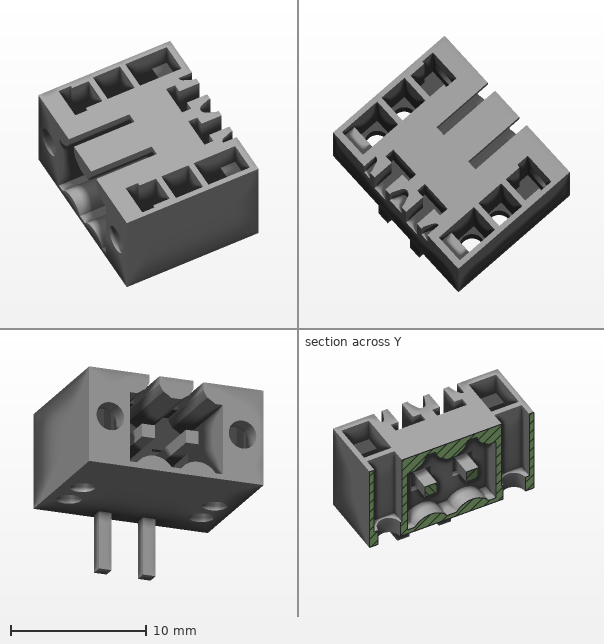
import cadquery as cq
import math


width = 13.9
depth = 11.05
height = 7.45
overall_height = 11.95

pitch = 3.5
pole_places = (-pitch / 2, pitch / 2)

pin_size = 1.01
pin_axis_z = 3.49
pin_tip_y = 1.2
leg_rear_gap = 0.32
pin_bottom_z = height - overall_height
leg_rear_y = depth - leg_rear_gap

cavity_width = 7.41
cavity_depth = 6.95
cavity_floor_z = 0.42
cavity_roof_z = 6.98
socket_size = 1.78
socket_depth = 0.42

rib_height = 0.71
rib_half_width = 1.36

key_slot_width = 0.8
key_slot_length = 5.07
lobe_half_width = (pitch - key_slot_width) / 2
lobe_flat_half_width = 0.4
lobe_bottom_z = 5.87
lobe_shoulder_z = 6.84
lobe_bulge = (1.24, 6.6)
lobe_step = (1.03, 6.28)
lobe_hollow = (0.82, 6.16)

side_axis_x = 5.27
pocket_inner_x = 4.21
pocket_outer_x = 6.53
pocket_floor_z = 1.39
rear_pocket_start = 0.51
rear_pocket_end = 3.99
ledge_end = 1.74
ledge_depth = 1.81
middle_pocket_start = 4.43
middle_pocket_end = 6.7
mount_hole_diameter = 1.86
mount_hole_offsets = (2.86, 5.55)

nut_pocket_start = 7.15
nut_slot_start = 8.52
nut_slot_end = 9.55
nut_slot_width = 2.63
nut_pocket_outer_x = 6.37
screw_hole_diameter = 2.2
screw_hole_z = 3.75

tee_slot_depth = 3.34
tee_stem_width = 1.21
tee_bar_width = 2.53
tee_bar_start = 1.7
tee_bar_end = 2.45
notch_half_width = 0.65
notch_straight = 0.21
notch_depth = 1.14
notch_height = 1.95
notch_tip_radius = 0.39


def block(x0, x1, y0, y1, z0, z1):
    """Box between two opposite corners."""
    return cq.Workplane("XY").box(x1 - x0, y1 - y0, z1 - z0, centered=False).translate((x0, y0, z0))


def centred_block(x, size_x, y0, y1, z0, z1):
    """Box centred on x, between the given Y and Z limits."""
    return block(x - size_x / 2, x + size_x / 2, y0, y1, z0, z1)


def from_rear(x0, x1, start, end, z0, z1=height):
    """Box whose Y limits are distances from the rear face."""
    return block(x0, x1, depth - end, depth - start, z0, z1)


def pin_shape(x):
    """Square pin: a horizontal contact that turns down into a leg."""
    top = pin_axis_z + pin_size / 2
    contact = centred_block(x, pin_size, pin_tip_y, leg_rear_y, top - pin_size, top)
    leg = centred_block(x, pin_size, leg_rear_y - pin_size, leg_rear_y, pin_bottom_z, top)
    return contact.union(leg)


def cavity_rib(x):
    """Circular-segment rib on the cavity floor."""
    return (
        cq.Workplane("XZ")
        .moveTo(x - rib_half_width, cavity_floor_z)
        .threePointArc((x, cavity_floor_z + rib_height), (x + rib_half_width, cavity_floor_z))
        .close()
        .extrude(-cavity_depth)
    )


def lobe_flank(x, side):
    """Material taken off one lower corner of a lobe: a bulged flank above a hollow one."""
    def place(point):
        half_width, z = point
        return (x + side * half_width, z)

    return (
        cq.Workplane("XZ")
        .moveTo(*place((lobe_half_width, lobe_bottom_z)))
        .lineTo(*place((lobe_half_width, lobe_shoulder_z)))
        .threePointArc(place(lobe_bulge), place(lobe_step))
        .threePointArc(place(lobe_hollow), place((lobe_flat_half_width, lobe_bottom_z)))
        .close()
        .extrude(-cavity_depth)
    )


def plug_cavity():
    """Front cavity with ribs, lobes, keying slots and a square recess round each pin."""
    cavity = centred_block(0, cavity_width, 0, cavity_depth, cavity_floor_z, lobe_bottom_z)
    for x in pole_places:
        gap = centred_block(x, key_slot_width, 0, cavity_depth, lobe_bottom_z, cavity_roof_z)
        left_flank = lobe_flank(x - pitch / 2, 1)
        right_flank = lobe_flank(x + pitch / 2, -1)
        cavity = cavity.union(gap).union(left_flank).union(right_flank).cut(cavity_rib(x))
    for x in pole_places:
        key_slot = centred_block(x, key_slot_width, 0, key_slot_length, lobe_bottom_z, height)
        socket = centred_block(x, socket_size, cavity_depth, cavity_depth + socket_depth,
                               pin_axis_z - socket_size / 2, pin_axis_z + socket_size / 2)
        cavity = cavity.union(key_slot).union(socket)
    return cavity


def side_pockets():
    """Pockets, mounting holes and screw hole of the +X side."""
    rear = from_rear(pocket_inner_x, pocket_outer_x, rear_pocket_start, rear_pocket_end, pocket_floor_z)
    ledge = from_rear(pocket_inner_x, pocket_outer_x, rear_pocket_start, ledge_end,
                      pocket_floor_z, height - ledge_depth)
    middle = from_rear(pocket_inner_x, pocket_outer_x, middle_pocket_start, middle_pocket_end, pocket_floor_z)
    nut_pocket = from_rear(pocket_inner_x, nut_pocket_outer_x, nut_pocket_start, nut_slot_end, pocket_floor_z)
    nut_slot = from_rear(side_axis_x - nut_slot_width / 2, side_axis_x + nut_slot_width / 2,
                         nut_slot_start, nut_slot_end, pocket_floor_z)
    mount_holes = (
        cq.Workplane("XY")
        .pushPoints([(side_axis_x, depth - offset) for offset in mount_hole_offsets])
        .circle(mount_hole_diameter / 2)
        .extrude(height)
    )
    screw_hole = (
        cq.Workplane("XZ")
        .center(side_axis_x, screw_hole_z)
        .circle(screw_hole_diameter / 2)
        .extrude(-(depth - nut_slot_start))
    )
    pockets = rear.cut(ledge).union(middle).union(nut_pocket).union(nut_slot)
    return pockets.union(mount_holes).union(screw_hole)


def tee_slot(x):
    """T-shaped slot open to the rear, above the pin."""
    floor_z = height - tee_slot_depth
    stem = centred_block(x, tee_stem_width, depth - tee_bar_end, depth, floor_z, height)
    bar = centred_block(x, tee_bar_width, depth - tee_bar_end, depth - tee_bar_start, floor_z, height)
    return stem.union(bar)


def coding_notch(x):
    """Notch in the rear edge whose tapering flanks run tangent into a round tip."""
    tip_centre = notch_depth - notch_tip_radius
    run = tip_centre - notch_straight
    reach = math.hypot(notch_half_width, run)
    normal_angle = math.acos(notch_tip_radius / reach) - math.atan2(run, notch_half_width)
    tangent_x = notch_tip_radius * math.cos(normal_angle)
    tangent_y = depth - tip_centre - notch_tip_radius * math.sin(normal_angle)
    return (
        cq.Workplane("XY", origin=(x, 0, height - notch_height))
        .moveTo(-notch_half_width, depth)
        .lineTo(-notch_half_width, depth - notch_straight)
        .lineTo(-tangent_x, tangent_y)
        .threePointArc((0, depth - notch_depth), (tangent_x, tangent_y))
        .lineTo(notch_half_width, depth - notch_straight)
        .lineTo(notch_half_width, depth)
        .close()
        .extrude(notch_height)
    )


def coding_notches():
    """Full notch between the poles and a half notch at each outer end of the row."""
    row = centred_block(0, 2 * pitch, 0, depth, 0, height)
    notches = coding_notch(0)
    for x in (-pitch, pitch):
        notches = notches.union(coding_notch(x).intersect(row))
    return notches


pins = [pin_shape(x) for x in pole_places]

housing = centred_block(0, width, 0, depth, 0, height)
housing = housing.cut(plug_cavity()).cut(coding_notches())
right_pockets = side_pockets()
housing = housing.cut(right_pockets).cut(right_pockets.mirror("YZ"))
for x in pole_places:
    housing = housing.cut(tee_slot(x))
for pin in pins:
    housing = housing.cut(pin)

result = cq.Compound.makeCompound([housing.val(), *[pin.val() for pin in pins]])